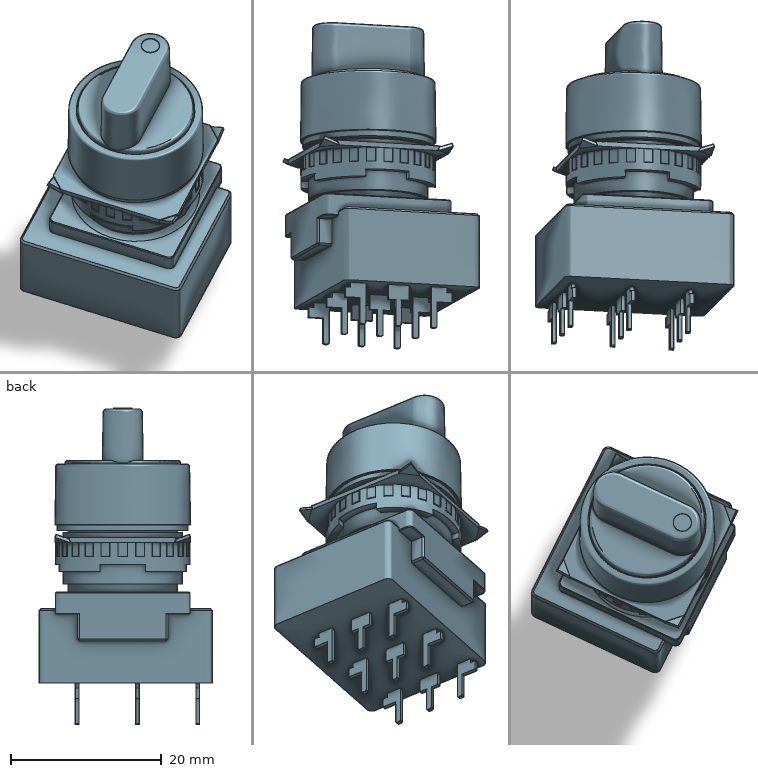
import cadquery as cq
import math


block_length = 23.0
block_width = 18.9
block_height = 9.9
block_center_x = -0.4
block_center_y = -2.48
corner_radius = 0.8
block_top_chamfer = 0.27

collar_side = 17.85
collar_height = 2.95
collar_top = 12.1
collar_bottom = collar_top - collar_height
collar_chamfer = 0.12

tail_length = 12.0
tail_bottom = 5.6
tail_chamfer = 0.25

terminal_pitch = 8.0
terminal_center_x = -1.95
terminal_center_y = -1.0
terminal_thickness = 0.5
terminal_length = 5.5
pin_width = 0.78
pin_tip_chamfer = 0.15
shoulder_depth = 2.0
middle_shoulder_width = 2.85
outer_inner_offset = 4.57
outer_root_offset = 6.7
tab_offset = 7.4
tab_top_depth = 0.65

plug_radius = 8.5
plug_depth = collar_top - block_height
neck_radius = 7.27
thread_radius = 7.92
thread_bottom = 13.15
thread_top = 20.0
flange_radius = 8.7
flange_bottom = 20.25
bezel_bottom = 21.0
bezel_top = 29.05
bezel_bottom_radius = 9.0
bezel_top_radius = 8.89
bezel_top_fillet = 0.3
bezel_bottom_chamfer = 0.06
groove_outer_radius = 7.85
groove_depth = 0.5
disc_radius = 7.67
disc_top = 29.55
disc_fillet = 0.35

lever_top = 36.4
lever_half_spacing = 5.0
lever_base_radius = 2.72
lever_top_radius = 2.6
lever_fillet = 0.5
dot_radius = 1.2
dot_height = 0.1
dot_center_y = 5.2

washer_side = 17.86
washer_bottom = 18.65
washer_thickness = 0.65
fold_leg = 1.9
flap_thickness = 0.45
flap_angle = 26.0
flap_half_span = 9.0

nut_radius = 8.95
nut_bottom = 14.8
nut_slot_count = 24
nut_slot_width = 1.2
nut_slot_depth = 0.15
nut_slot_height = 1.85
nut_notch_count = 4
nut_notch_width = 6.0
nut_notch_height = 0.93


def outer_terminal_points():
    """Outline (y offset, z) of a terminal whose tab points outward."""
    inner = outer_inner_offset
    pin_outer = inner + pin_width
    return [
        (inner, 0),
        (outer_root_offset, 0),
        (outer_root_offset, -tab_top_depth),
        (tab_offset, -tab_top_depth),
        (tab_offset, -shoulder_depth),
        (pin_outer, -shoulder_depth),
        (pin_outer, -terminal_length + pin_tip_chamfer),
        (pin_outer - pin_tip_chamfer, -terminal_length),
        (inner + pin_tip_chamfer, -terminal_length),
        (inner, -terminal_length + pin_tip_chamfer),
    ]


def middle_terminal_points():
    """Outline (y offset, z) of the symmetric middle terminal."""
    shoulder = middle_shoulder_width / 2
    pin = pin_width / 2
    right_side = [
        (shoulder, 0),
        (shoulder, -shoulder_depth),
        (pin, -shoulder_depth),
        (pin, -terminal_length + pin_tip_chamfer),
        (pin - pin_tip_chamfer, -terminal_length),
    ]
    left_side = [(-y, z) for y, z in reversed(right_side)]
    return right_side + left_side


def make_terminal(points, x):
    return (
        cq.Workplane("YZ", origin=(x, terminal_center_y, 0))
        .polyline(points)
        .close()
        .extrude(terminal_thickness / 2, both=True)
    )


def make_contact_block():
    base = (
        cq.Workplane("XY", origin=(block_center_x, block_center_y, 0))
        .rect(block_length, block_width)
        .extrude(block_height)
        .edges("|Z")
        .fillet(corner_radius)
        .faces(">Z")
        .edges()
        .chamfer(block_top_chamfer)
    )
    collar = (
        cq.Workplane("XY", origin=(0, 0, collar_bottom))
        .rect(collar_side, collar_side)
        .extrude(collar_height)
        .edges("|Z")
        .fillet(corner_radius)
        .faces("<Z or >Z")
        .edges()
        .chamfer(collar_chamfer)
    )
    tail = (
        cq.Workplane("XY", origin=(0, collar_side / 4, tail_bottom))
        .rect(tail_length, collar_side / 2)
        .extrude(collar_bottom + collar_height / 2 - tail_bottom)
        .edges("<Z or (|Z and >Y)")
        .chamfer(tail_chamfer)
    )
    block = base.union(collar).union(tail)

    outer = outer_terminal_points()
    mirrored = [(-y, z) for y, z in outer]
    for column in (-1, 0, 1):
        x = terminal_center_x + column * terminal_pitch
        for points in (outer, middle_terminal_points(), mirrored):
            block = block.union(make_terminal(points, x))

    socket = (
        cq.Workplane("XY", origin=(0, 0, collar_top))
        .circle(plug_radius)
        .extrude(-plug_depth)
    )
    return block.cut(socket)


def make_turned_body():
    """Plug, threaded neck, bezel and lever disc turned about the axis."""
    groove_bottom = bezel_top - groove_depth
    arc = math.sqrt(0.5)
    bezel_shoulder = bezel_top_radius - bezel_top_fillet
    disc_shoulder = disc_radius - disc_fillet
    return (
        cq.Workplane("XZ")
        .moveTo(0, collar_top - plug_depth)
        .lineTo(plug_radius, collar_top - plug_depth)
        .lineTo(plug_radius, collar_top)
        .lineTo(neck_radius, collar_top)
        .lineTo(neck_radius, thread_bottom)
        .lineTo(thread_radius, thread_bottom)
        .lineTo(thread_radius, thread_top)
        .lineTo(neck_radius, thread_top)
        .lineTo(neck_radius, flange_bottom)
        .lineTo(flange_radius, flange_bottom)
        .lineTo(flange_radius, bezel_bottom)
        .lineTo(bezel_bottom_radius - bezel_bottom_chamfer, bezel_bottom)
        .lineTo(bezel_bottom_radius, bezel_bottom + bezel_bottom_chamfer)
        .lineTo(bezel_top_radius, bezel_top - bezel_top_fillet)
        .threePointArc(
            (bezel_shoulder + arc * bezel_top_fillet, bezel_top - (1 - arc) * bezel_top_fillet),
            (bezel_shoulder, bezel_top),
        )
        .lineTo(groove_outer_radius, bezel_top)
        .lineTo(groove_outer_radius, groove_bottom)
        .lineTo(disc_radius, groove_bottom)
        .lineTo(disc_radius, disc_top - disc_fillet)
        .threePointArc(
            (disc_shoulder + arc * disc_fillet, disc_top - (1 - arc) * disc_fillet),
            (disc_shoulder, disc_top),
        )
        .lineTo(0, disc_top)
        .close()
        .revolve(360, (0, 0, 0), (0, 1, 0))
    )


def make_lever():
    """Round-ended grip along Y, slightly tapered, with an indicator dot at the +Y end."""
    lever_bottom = disc_top - disc_fillet
    height = lever_top - lever_bottom
    taper = math.degrees(math.atan((lever_base_radius - lever_top_radius) / height))
    grip = (
        cq.Workplane("XY", origin=(0, 0, lever_bottom))
        .slot2D(2 * (lever_half_spacing + lever_base_radius), 2 * lever_base_radius, 90)
        .extrude(height, taper=taper)
        .faces(">Z")
        .edges()
        .fillet(lever_fillet)
    )
    dot = (
        cq.Workplane("XY", origin=(0, dot_center_y, lever_top))
        .circle(dot_radius)
        .extrude(dot_height)
    )
    return grip.union(dot)


def make_operator():
    return make_turned_body().union(make_lever())


def make_washer():
    """Square plate around the thread with its four corners folded up."""
    fold_distance = (washer_side - fold_leg) / math.sqrt(2)
    flap_reach = flap_half_span * math.sqrt(2) - fold_distance
    flap_length = flap_reach / math.cos(math.radians(flap_angle))
    plate = (
        cq.Workplane("XY", origin=(0, 0, washer_bottom))
        .rect(washer_side, washer_side)
        .extrude(washer_thickness)
        .edges("|Z")
        .chamfer(fold_leg)
    )
    flap = (
        cq.Workplane("XY")
        .polyline([(0, -flap_reach), (flap_length, 0), (0, flap_reach)])
        .close()
        .extrude(flap_thickness)
        .rotate((0, 0, 0), (0, 1, 0), -flap_angle)
        .translate((fold_distance, 0, washer_bottom))
    )
    for corner in range(4):
        plate = plate.union(flap.rotate((0, 0, 0), (0, 0, 1), 45 + 90 * corner))
    bore = cq.Workplane("XY", origin=(0, 0, washer_bottom)).circle(thread_radius).extrude(washer_thickness)
    return plate.cut(bore)


def make_nut():
    """Ring nut with grip slots around its upper rim and four wrench notches below."""
    nut = (
        cq.Workplane("XY", origin=(0, 0, nut_bottom))
        .circle(nut_radius)
        .circle(thread_radius)
        .extrude(washer_bottom - nut_bottom)
    )
    slots = (
        cq.Workplane("XY", origin=(0, 0, washer_bottom))
        .polarArray(nut_radius, 0, 360, nut_slot_count)
        .rect(2 * nut_slot_depth, nut_slot_width)
        .extrude(-nut_slot_height)
    )
    notches = (
        cq.Workplane("XY", origin=(0, 0, nut_bottom))
        .polarArray(nut_radius, 0, 360, nut_notch_count)
        .rect(nut_radius, nut_notch_width)
        .extrude(nut_notch_height)
    )
    return nut.cut(slots).cut(notches)


contact_block = make_contact_block()
operator = make_operator()
washer = make_washer()
nut = make_nut()

bodies = [contact_block, operator, washer, nut]
result = cq.Compound.makeCompound([body.solids().val() for body in bodies])